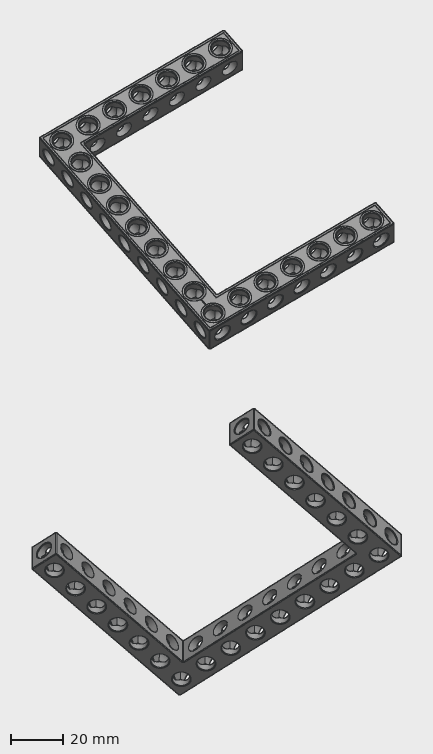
import cadquery as cq

pitch = 12.5
cells_x = 9
cells_y = 7
length_x = cells_x * pitch
length_y = cells_y * pitch
top = pitch / 2

hole_diameter = 7.0
chamfer = 0.3
chamfer_angle = 45

border_width = 1.1
recess_depth = 0.2
recess_floor = top - recess_depth
hole_border_diameter = hole_diameter + 2 * border_width

slit_width = 0.3
slit_depth = 0.2
slit_length = pitch - hole_border_diameter


def centred_positions(count):
    """Cell centres along one axis, with the row of cells centred on zero."""
    return [(index - (count - 1) / 2) * pitch for index in range(count)]


columns = centred_positions(cells_x)
rows = centred_positions(cells_y)


def frame_prism(inset, bottom, height):
    """U-shaped prism, open towards +Y, with its outline moved inwards by the inset."""
    base = cq.Workplane("XY", origin=(0, 0, bottom))
    outer = base.rect(length_x - 2 * inset, length_y - 2 * inset).extrude(height)
    opening_width = length_x - 2 * pitch + 2 * inset
    opening = base.center(0, pitch - inset).rect(opening_width, length_y).extrude(height)
    return outer.cut(opening)


def vertical_cylinders(diameter, bottom, height):
    """One cylinder along Z in every cell of the frame."""
    cross_beam = [(x, rows[0]) for x in columns]
    arms = [(x, y) for x in (columns[0], columns[-1]) for y in rows[1:]]
    base = cq.Workplane("XY", origin=(0, 0, bottom))
    return base.pushPoints(cross_beam + arms).circle(diameter / 2).extrude(height)


def chamfered_block():
    """Frame with the vertical holes, chamfered along its outline and at the hole mouths."""
    block = frame_prism(0, -top, pitch).edges("|Z").chamfer(chamfer)
    block = block.cut(vertical_cylinders(hole_diameter, -top, pitch))
    return block.faces(">Z or <Z").chamfer(chamfer)


def side_holes(plane, positions, length):
    """Row of horizontal holes through the whole part, flared at the outer side faces."""
    points = [(position, 0) for position in positions]
    radius = hole_diameter / 2
    holes = cq.Workplane(plane).pushPoints(points).circle(radius).extrude(length / 2, both=True)
    for side in (1, -1):
        face = cq.Workplane(plane).workplane(offset=side * length / 2).pushPoints(points)
        mouths = face.circle(radius + chamfer).extrude(-side * chamfer, taper=chamfer_angle)
        holes = holes.union(mouths)
    return holes


def top_recess():
    """Shallow pocket over the top face, clear of the outline and of the holes."""
    pocket = frame_prism(border_width, recess_floor, recess_depth)
    return pocket.cut(vertical_cylinders(hole_border_diameter, recess_floor, recess_depth))


def slit():
    """Narrow slit joining the borders of the last two holes of the cross beam."""
    middle = (columns[-2] + columns[-1]) / 2
    base = cq.Workplane("XY", origin=(middle, rows[0], recess_floor))
    return base.rect(slit_length, slit_width).extrude(-slit_depth)


frame = chamfered_block()
frame = frame.cut(side_holes("XZ", columns, length_y))
frame = frame.cut(side_holes("YZ", rows, length_x))
frame = frame.cut(top_recess())
result = frame.cut(slit())